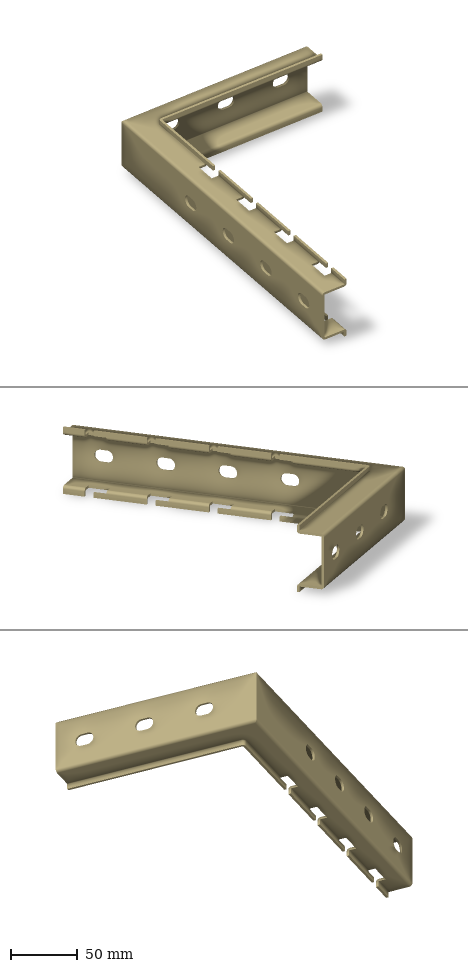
import cadquery as cq

length_x = 267.0
length_y = 168.0
height = 53.0

sheet = 2.0
inner_bend = 0.5
outer_bend = inner_bend + sheet
channel_depth = 22.0
body_height = 44.0
lip_corner_radius = outer_bend

pitch = 50.0
hole_length = 15.0
hole_width = 10.0
holes_on_x_leg = 4
holes_on_y_leg = 3
end_hole_offset_x = 25.0
end_hole_offset_y = 24.0

notch_count = 4
last_notch_to_end = 17.5
notch_width = 17.5
mouth_width = 7.0
notch_depth = 8.0

half_body = body_height / 2
lip_face = channel_depth - sheet
flange_inside = half_body - sheet


def elbow(near, far, z_low, z_high):
    """L-shaped slab following both legs between two offsets from the outer faces."""
    outline = [
        (near, near),
        (length_x, near),
        (length_x, far),
        (far, far),
        (far, length_y),
        (near, length_y),
    ]
    return cq.Workplane("XY").workplane(offset=z_low).polyline(outline).close().extrude(z_high - z_low)


def bend_line(offset, z):
    """Selector for the elbow edges at an offset from the outer faces, corner arc included."""
    tolerance = 0.01
    low, high = offset - tolerance, offset + tolerance
    corner_high = high + lip_corner_radius
    reaches = [(length_x + tolerance, high), (high, length_y + tolerance), (corner_high, corner_high)]
    boxes = [
        cq.selectors.BoxSelector((low, low, z - tolerance), (x, y, z + tolerance), boundingbox=True)
        for x, y in reaches
    ]
    return boxes[0] + boxes[1] + boxes[2]


def lip(side):
    """Lip turned away from the web flange, with its outer corner rounded."""
    z_low, z_high = sorted((side * flange_inside, side * height / 2))
    corner_edge = cq.selectors.NearestToPointSelector((lip_face, lip_face, 0))
    return elbow(lip_face, channel_depth, z_low, z_high).edges(corner_edge).fillet(lip_corner_radius)


def channel():
    """Web, flanges and outward lips, with every bend rounded inside and outside."""
    body = elbow(0, channel_depth, -half_body, half_body)
    cavity = elbow(sheet, channel_depth, -flange_inside, flange_inside)
    shape = body.cut(cavity)
    for side in (-1, 1):
        shape = shape.union(lip(side))
        bends = [
            (0, half_body, outer_bend),
            (sheet, flange_inside, inner_bend),
            (lip_face, half_body, inner_bend),
            (channel_depth, flange_inside, outer_bend),
        ]
        for offset, z, radius in bends:
            shape = shape.edges(bend_line(offset, side * z)).fillet(radius)
    return shape


def web_holes():
    """Cutters for the oblong holes along the middle of both webs."""
    cutters = cq.Workplane("XY")
    for index in range(holes_on_x_leg):
        x = length_x - end_hole_offset_x - index * pitch
        slot = cq.Workplane("XZ", origin=(x, 0, 0)).slot2D(hole_length, hole_width)
        cutters = cutters.add(slot.extrude(-sheet))
    for index in range(holes_on_y_leg):
        y = length_y - end_hole_offset_y - index * pitch
        slot = cq.Workplane("YZ", origin=(0, y, 0)).slot2D(hole_length, hole_width)
        cutters = cutters.add(slot.extrude(sheet))
    return cutters.combine()


def notches():
    """Cutters for the hook notches, each a wide flange pocket opening through a narrower lip mouth."""
    pocket_height = body_height + 2 * inner_bend
    cutters = cq.Workplane("XY")
    for index in range(notch_count):
        x_end = length_x - last_notch_to_end - index * pitch
        for width, cut_height in ((notch_width, pocket_height), (mouth_width, height)):
            center = (x_end - width / 2, channel_depth - notch_depth / 2, 0)
            cutters = cutters.add(cq.Workplane(origin=center).box(width, notch_depth, cut_height))
    return cutters.combine()


result = channel().cut(web_holes()).cut(notches())